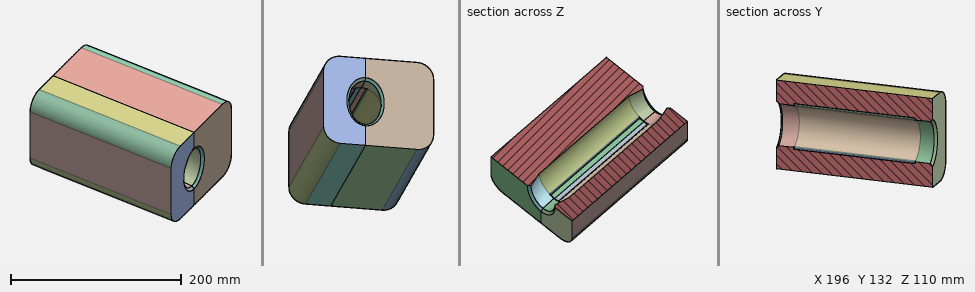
import cadquery as cq

LENGTH = 196.0
WIDTH = 132.0
HEIGHT = 110.0
CORNER_RADIUS = 20.0
BASE_DEPTH = 81.7
COVER_DEPTH = WIDTH - BASE_DEPTH

OPENING_WIDTH = 38.6
OPENING_HEIGHT = 54.5
MOUTH_CHAMFER = 3.1
CHAMBER_WIDTH = 48.2
CHAMBER_HEIGHT = 52.7
CHAMBER_INSET = 22.1
CHAMBER_LENGTH = LENGTH - 2 * CHAMBER_INSET

GROOVE_WIDTH = 13.3
GROOVE_DEPTH = 1.5
GROOVE_EDGE_RADIUS = 1.2


def tapered_oval(x_start, width_start, height_start, x_end, width_end, height_end):
    """Oval bore section along X whose width and height change evenly from start to end."""
    return (
        cq.Workplane("YZ")
        .workplane(offset=x_start)
        .ellipse(width_start / 2, height_start / 2)
        .workplane(offset=x_end - x_start)
        .ellipse(width_end / 2, height_end / 2)
        .loft(ruled=True)
    )


def bore_end(side):
    """Chamfered mouth and widening throat at one end of the bore; side is -1 or 1 along X."""
    x_face = side * LENGTH / 2
    x_opening = x_face - side * MOUTH_CHAMFER
    x_chamber = x_face - side * CHAMBER_INSET
    mouth = tapered_oval(
        x_face,
        OPENING_WIDTH + 2 * MOUTH_CHAMFER,
        OPENING_HEIGHT + 2 * MOUTH_CHAMFER,
        x_opening,
        OPENING_WIDTH,
        OPENING_HEIGHT,
    )
    throat = tapered_oval(
        x_opening, OPENING_WIDTH, OPENING_HEIGHT, x_chamber, CHAMBER_WIDTH, CHAMBER_HEIGHT
    )
    return mouth, throat


def chamber():
    """Middle stretch of the bore: an oval of constant size with its two grooves."""
    oval = (
        cq.Workplane("YZ")
        .workplane(offset=-CHAMBER_LENGTH / 2)
        .ellipse(CHAMBER_WIDTH / 2, CHAMBER_HEIGHT / 2)
        .extrude(CHAMBER_LENGTH)
    )
    groove_slab = cq.Workplane("XY").box(
        CHAMBER_LENGTH, GROOVE_WIDTH, CHAMBER_HEIGHT + 2 * GROOVE_DEPTH
    )
    around_groove_edges = cq.selectors.BoxSelector(
        (-CHAMBER_LENGTH / 4, -GROOVE_WIDTH, -CHAMBER_HEIGHT / 2),
        (CHAMBER_LENGTH / 4, GROOVE_WIDTH, CHAMBER_HEIGHT / 2),
    )
    return oval.union(groove_slab).edges(around_groove_edges).fillet(GROOVE_EDGE_RADIUS)


def bored_block():
    """The whole rounded block with the bore through it, before it is split."""
    block = (
        cq.Workplane("XY")
        .box(LENGTH, WIDTH, HEIGHT)
        .edges("|X")
        .fillet(CORNER_RADIUS)
        .translate((0, (BASE_DEPTH - COVER_DEPTH) / 2, 0))
    )
    for side in (-1, 1):
        for section in bore_end(side):
            block = block.cut(section)
    return block.cut(chamber())


def block_slice(y_min, y_max):
    """The part of the bored block between two Y positions, as one solid."""
    slab = cq.Workplane("XY").box(LENGTH, y_max - y_min, HEIGHT).translate((0, (y_min + y_max) / 2, 0))
    return bored_block().intersect(slab).solids()


base = block_slice(0, BASE_DEPTH)
cover = block_slice(-COVER_DEPTH, 0)

result = cq.Compound.makeCompound([base.val(), cover.val()])